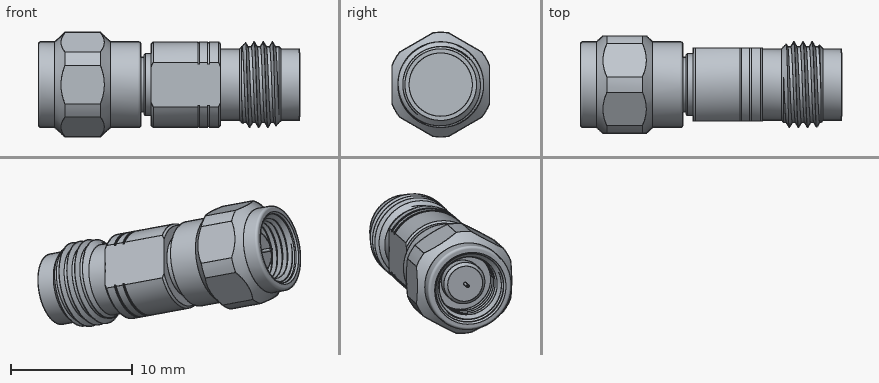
import cadquery as cq
import math


nut_radius = 3.52
nut_end = 8.4
nut_edge = 0.21
hex_across_flats = 8.0
hex_across_corners = 8.6
hex_start = 1.33
hex_end = 5.92
hex_cone_length = 0.84

mouth_radius = 3.02
relief_radius = 2.87
relief_depth = 0.28
socket_depth = 2.79
socket_root_radius = 2.75
socket_crest_radius = 2.4
socket_pitch = 0.5
socket_bottom_crest = 0.77

plug_radius = 1.74
plug_chamfer = 0.25
plug_face = 1.67
pin_radius = 0.13
pin_tip_radius = 0.06
pin_length = 0.97
pin_taper = 0.1

neck_radius = 2.25
collar_radius = 2.55
collar_start = 8.65
collar_chamfer = 0.13

body_start = 9.25
body_end = 14.93
body_radius = 3.52
body_chamfer = 0.17
body_flat_offset = 3.0
ring_groove_starts = (13.06, 13.88)
ring_groove_width = 0.13
ring_groove_depth = 0.06

barrel_radius = 2.94
barrel_end = 21.39
lip_radius = 2.6
total_length = 21.45
thread_start = 16.5
thread_end = 19.9
thread_core_radius = 3.1
thread_crest_radius = 3.52
thread_pitch = 0.75
thread_bottom_crest = 16.55

flank_slope = math.tan(math.radians(30))
crest_width = 0.02
ridge_root_overlap = 0.02


def revolved(points):
    """Solid of revolution about X from (x, radius) points."""
    return cq.Workplane("XY").polyline(points).close().revolve(360, (0, 0, 0), (1, 0, 0))


def cylinder(start, end, radius):
    return cq.Workplane("YZ", origin=(start, 0, 0)).circle(radius).extrude(end - start)


def helical_ridge(root_radius, crest_radius, pitch, first_crest, turns):
    """Right-handed V ridge about X whose first crest lies at the bottom, at X = first_crest."""
    outward = math.copysign(1, crest_radius - root_radius)
    base_radius = root_radius - outward * ridge_root_overlap
    half_crest = crest_width / 2
    half_base = half_crest + abs(crest_radius - base_radius) * flank_slope
    path = cq.Wire.makeHelix(pitch, turns * pitch, root_radius)
    profile = cq.Workplane("XZ").polyline([
        (base_radius, -half_base),
        (crest_radius, -half_crest),
        (crest_radius, half_crest),
        (base_radius, half_base),
    ]).close()
    ridge = profile.sweep(cq.Workplane(obj=path), isFrenet=True)
    return ridge.rotate((0, 0, 0), (0, 1, 0), 90).translate((first_crest, 0, 0))


def make_nut():
    hex_corner_radius = hex_across_corners / 2
    sleeve = cylinder(0, nut_end, nut_radius).faces("<X or >X").fillet(nut_edge)
    hexagon = (
        cq.Workplane("YZ", origin=(hex_start, 0, 0))
        .polygon(6, hex_across_flats, circumscribed=True)
        .extrude(hex_end - hex_start)
    )
    envelope = revolved([
        (hex_start, 0),
        (hex_start, nut_radius),
        (hex_start + hex_cone_length, hex_corner_radius),
        (hex_end - hex_cone_length, hex_corner_radius),
        (hex_end, nut_radius),
        (hex_end, 0),
    ])
    return sleeve.union(hexagon.intersect(envelope))


def make_socket():
    """Threaded cavity with the plug and pin standing in it."""
    first_crest = socket_bottom_crest - 2 * socket_pitch
    turns = math.ceil((socket_depth - first_crest) / socket_pitch) + 1
    ridge = helical_ridge(
        socket_root_radius, socket_crest_radius, socket_pitch, first_crest, turns
    )
    blank = cylinder(-socket_depth, 2 * socket_depth, socket_root_radius)
    bore = blank.cut(ridge).intersect(cylinder(0, socket_depth, mouth_radius))
    mouth_cone = mouth_radius - relief_radius
    relief_end = relief_depth + relief_radius - plug_radius
    mouth = revolved([
        (0, 0),
        (0, mouth_radius),
        (mouth_cone, relief_radius),
        (relief_depth, relief_radius),
        (relief_end, plug_radius),
        (relief_end, 0),
    ])
    cavity = bore.union(mouth)
    plug = cylinder(plug_face, socket_depth, plug_radius).faces("<X").chamfer(plug_chamfer)
    pin_tip = plug_face - pin_length
    pin = revolved([
        (pin_tip, 0),
        (pin_tip, pin_tip_radius),
        (pin_tip + pin_taper, pin_radius),
        (socket_depth, pin_radius),
        (socket_depth, 0),
    ])
    return cavity.cut(plug).cut(pin)


def make_neck():
    neck = cylinder(nut_end, body_start, neck_radius)
    collar = cylinder(collar_start, body_start, collar_radius).faces("<X").chamfer(collar_chamfer)
    return neck.union(collar)


def make_body():
    body = cylinder(body_start, body_end, body_radius).faces("<X or >X").chamfer(body_chamfer)
    for start in ring_groove_starts:
        end = start + ring_groove_width
        groove = cylinder(start, end, body_radius).cut(
            cylinder(start, end, body_radius - ring_groove_depth)
        )
        body = body.cut(groove)
    slab = cq.Workplane("XY").box(2 * total_length, 2 * body_flat_offset, 2 * body_radius)
    return body.intersect(slab)


def make_barrel():
    barrel = cylinder(body_end, barrel_end, barrel_radius)
    return barrel.union(cylinder(barrel_end, total_length, lip_radius))


def make_thread():
    first_crest = thread_bottom_crest - thread_pitch
    turns = math.ceil((thread_end - first_crest) / thread_pitch) + 1
    ridge = helical_ridge(
        thread_core_radius, thread_crest_radius, thread_pitch, first_crest, turns
    )
    core = cylinder(body_end, total_length, thread_core_radius)
    half_length = (thread_end - thread_start) / 2
    envelope = revolved([
        (thread_start, 0),
        (thread_start, barrel_radius),
        (thread_start + half_length, barrel_radius + half_length),
        (thread_end, barrel_radius),
        (thread_end, 0),
    ])
    return core.union(ridge).intersect(envelope)


result = (
    make_nut()
    .cut(make_socket())
    .union(make_neck())
    .union(make_body())
    .union(make_barrel())
    .union(make_thread())
)